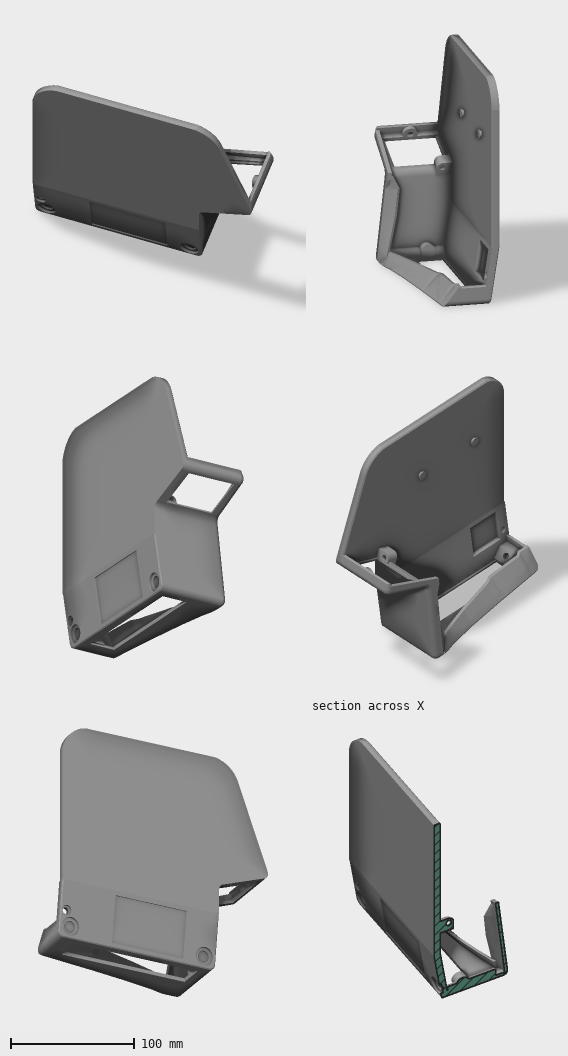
import cadquery as cq
import math

HEIGHT = 187.32
OVERALL_WIDTH = 187.63
BASE_WIDTH = 142.9
SLOPE = 20.0
CORNER_R = 5.0
WALL = 3.2
PLATE = 6.3
CHAMFER = 0.8
RIM_CHAMFER = 1.0

BEND_Z = 47.9
FOOT_Y = 7.3
BACK_Y = 69.38
BACK_SLOPE = 0.111
TRAY_TOP_Z = 100.6
WING_ROOT_Z = 73.55

FAR = 300.0
SIN = math.sin(math.radians(SLOPE))
COS = math.cos(math.radians(SLOPE))
LEAN = math.degrees(math.atan2(FOOT_Y, BEND_Z))

TRAY_X = OVERALL_WIDTH - CORNER_R + CORNER_R * (SIN + COS)
TRAY_Z = WING_ROOT_Z + (TRAY_X - BASE_WIDTH) * SIN / COS


def back_y(z):
    """Rear face position at height z."""
    return BACK_Y - BACK_SLOPE * z


def front_y(z):
    """Front face position at height z on the leaning part."""
    return FOOT_Y * (1 - z / BEND_Z)


def box(x0, x1, y0, y1, z0, z1):
    return cq.Workplane("XY").box(x1 - x0, y1 - y0, z1 - z0, centered=False).translate((x0, y0, z0))


def along_x(points, x0, x1):
    """Prism along X from (y, z) points."""
    return cq.Workplane("YZ", origin=(x0, 0, 0)).polyline(points).close().extrude(x1 - x0)


def along_y(points, y0, y1):
    """Prism along Y from (x, z) points."""
    return cq.Workplane("XZ", origin=(0, y0, 0)).polyline(points).close().extrude(y0 - y1)


def rod(start, direction, diameter, length):
    axis = cq.Vector(*direction)
    return cq.Workplane(cq.Solid.makeCylinder(diameter / 2, length, cq.Vector(*start), axis))


LEFT_ARC_START_Z = 164.5
LEFT_ARC_MID = (5.4, 177.5)
LEFT_TOP_X = 20.6
RIGHT_ARC_END_Z = 171.0
RIGHT_ARC_MID = (152.5, 181.0)
RIGHT_TOP_X = 140.0
FLAT_DROP = 1.2
LEFT_FLAT_X = 16.3
RIGHT_FLAT_X = 143.7


def outline(inset=0.0):
    """Front outline as a prism along Y, optionally shrunk by inset."""
    right_x = TRAY_X - (RIGHT_ARC_END_Z - TRAY_Z) * SIN / COS
    sharp = (
        cq.Workplane("XZ")
        .moveTo(0, 0)
        .lineTo(BASE_WIDTH, 0)
        .lineTo(BASE_WIDTH, WING_ROOT_Z)
        .lineTo(TRAY_X, TRAY_Z)
        .lineTo(right_x, RIGHT_ARC_END_Z)
        .threePointArc(RIGHT_ARC_MID, (RIGHT_FLAT_X, HEIGHT - FLAT_DROP))
        .lineTo(RIGHT_TOP_X, HEIGHT)
        .lineTo(LEFT_TOP_X, HEIGHT)
        .lineTo(LEFT_FLAT_X, HEIGHT - FLAT_DROP)
        .threePointArc(LEFT_ARC_MID, (0, LEFT_ARC_START_Z))
        .close()
        .extrude(-FAR)
    )
    rounded = (
        sharp.edges(cq.selectors.BoxSelector((-1, -1, -1), (TRAY_X + 1, FAR + 1, TRAY_Z + 1)))
        .edges("|Y")
        .fillet(CORNER_R)
    )
    if inset == 0:
        return rounded
    wire = rounded.faces("<Y").wires().vals()[0]
    inner = wire.offset2D(-inset)[0]
    return cq.Workplane(cq.Solid.extrudeLinear(inner, [], cq.Vector(0, FAR, 0)))


def upright_plate():
    """Vertical part of the plate, with a chamfered rear rim."""
    slab = outline().intersect(box(0, FAR, 0, PLATE - RIM_CHAMFER, 0, FAR))
    slab = slab.faces(">Y").wires().toPending().workplane().extrude(RIM_CHAMFER, taper=45)
    return slab.intersect(box(0, FAR, 0, PLATE, BEND_Z, FAR))


def leaning_plate():
    """Part below the bend, with a chamfered front rim."""
    profile = [(FOOT_Y, 0), (0, BEND_Z), (PLATE, BEND_Z), (FOOT_Y + PLATE, 0)]
    plate = along_x(profile, 0, FAR).intersect(outline())
    face_point = (BASE_WIDTH / 2, front_y(BEND_Z / 2), BEND_Z / 2)
    face = plate.faces(cq.selectors.NearestToPointSelector(face_point))
    return face.edges(cq.selectors.BoxSelector((-1, -1, -1), (FAR, FAR, BEND_Z - 1))).chamfer(CHAMFER)


LEFT_TOP_Z = 16.5
LEFT_TOP_Y = 34.0
LEFT_FOOT_Y = 46.0
SKIN = 2.0
REAR_R = 4.0


def envelope():
    """Outer form of the body behind the plate's front skin, its rear edges rounded."""
    depth = [
        (FOOT_Y + SKIN, 0),
        (SKIN, BEND_Z),
        (SKIN, TRAY_TOP_Z),
        (back_y(TRAY_TOP_Z), TRAY_TOP_Z),
        (BACK_Y, 0),
    ]
    body = outline().intersect(along_x(depth, 0, FAR))
    rear_point = (BASE_WIDTH / 2, back_y(BEND_Z), BEND_Z)
    rear_face = body.faces(cq.selectors.NearestToPointSelector(rear_point))
    rim = rear_face.edges(cq.selectors.BoxSelector((1, -1, -1), (FAR, FAR, TRAY_TOP_Z - 1)))
    return rim.fillet(REAR_R)


def perimeter_walls(body):
    walls = body.cut(outline(WALL))
    above_left_wall = [
        (front_y(LEFT_TOP_Z) + SKIN, LEFT_TOP_Z),
        (LEFT_TOP_Y, LEFT_TOP_Z),
        (LEFT_FOOT_Y, 0),
        (FAR, 0),
        (FAR, FAR),
        (SKIN, FAR),
        (SKIN, BEND_Z),
    ]
    walls = walls.cut(along_x(above_left_wall, -WALL, 2 * WALL))
    left_top = cq.selectors.NearestToPointSelector((0, LEFT_TOP_Y - CORNER_R, LEFT_TOP_Z))
    walls = walls.edges("|Y").edges(left_top).chamfer(RIM_CHAMFER)
    return walls.cut(tray_end_bevel())


def tray_end_bevel():
    """Wedge removed from the inner top edge of the tray end wall."""
    outer_x = TRAY_X - (TRAY_TOP_Z - TRAY_Z) * SIN / COS
    inner_x = outer_x - WALL / COS
    wedge = [
        (inner_x, TRAY_TOP_Z),
        (inner_x + RIM_CHAMFER, TRAY_TOP_Z),
        (inner_x + RIM_CHAMFER * SIN / COS, TRAY_TOP_Z - RIM_CHAMFER),
    ]
    return along_y(wedge, PLATE, FAR)


LIP_END_X = 131.0
LIP_THICK = 2.6
LIP_BASE_Z = 1.0
LIP_SECTIONS = [
    (0.0, LEFT_FOOT_Y, LEFT_TOP_Y, LEFT_TOP_Z),
    (10.5, 47.4, LEFT_TOP_Y, LEFT_TOP_Z),
    (14.0, 47.8, 36.5, 15.8),
    (48.0, 52.2, 38.0, 14.8),
    (54.0, 52.9, 41.0, 14.2),
    (90.0, 58.2, 49.5, 12.3),
    (115.0, 63.0, 57.0, 11.5),
    (LIP_END_X, 67.8, 62.5, 11.0),
]


def loft_along_x(sections):
    """Ruled solid through (x, [(y, z), ...]) sections."""
    wires = []
    for x, points in sections:
        wires.append(cq.Wire.makePolygon([cq.Vector(x, y, z) for y, z in points], close=True))
    return cq.Workplane(cq.Solid.makeLoft(wires, True))


def rear_lip():
    """Leaning strip along the rear of the base, left thick for trimming."""
    sections = []
    for x, base_y, top_y, top_z in LIP_SECTIONS:
        outer = [(base_y + LIP_THICK, 0), (top_y + LIP_THICK, top_z)]
        inner = [(top_y - LIP_THICK, top_z), (base_y - 2 * LIP_THICK, 0)]
        sections.append((x, outer + inner))
    return loft_along_x(sections)


def behind_lip():
    """Space behind the lip; the base narrows to the left along it."""
    sections = []
    for x, base_y, top_y, top_z in LIP_SECTIONS:
        sections.append((x, [(base_y, 0), (base_y, LIP_BASE_Z), (top_y, top_z), (FAR, top_z), (FAR, 0)]))
    return loft_along_x(sections)


FLANK_SECTIONS = [
    (0.0, 126.0, 63.0),
    (11.0, 126.0, 61.5),
    (40.0, 128.0, 55.0),
    (63.0, 130.0, 52.0),
    (74.0, 131.0, 57.5),
]
COLUMN_X = 133.5


def rear_flank():
    """Rear column with a strip that turns inward toward the opening."""
    wires = []
    for z, edge_x, edge_y in FLANK_SECTIONS:
        rear = back_y(z)
        section = [
            (BASE_WIDTH, rear),
            (COLUMN_X, rear),
            (edge_x, edge_y + 1),
            (edge_x + 1, edge_y - 1),
            (COLUMN_X + 1, rear - WALL),
            (BASE_WIDTH, rear - WALL),
        ]
        wires.append(cq.Wire.makePolygon([cq.Vector(x, y, z) for x, y in section], close=True))
    return cq.Workplane(cq.Solid.makeLoft(wires, True))


TRAY_LIP_X = 130.5
TRAY_LIP_Z = 77.0
TRAY_LIP_RISE = 0.4


def tray_lip():
    """Rear lip of the tray, its top edge rising to the right."""
    start_z = 63.0
    tip_z = 71.0
    lip_top = TRAY_LIP_Z + TRAY_LIP_RISE * (TRAY_X - TRAY_LIP_X)
    face = along_y(
        [
            (TRAY_LIP_X, tip_z),
            (COLUMN_X, start_z),
            (TRAY_X, start_z),
            (TRAY_X, lip_top),
            (TRAY_LIP_X, TRAY_LIP_Z),
        ],
        0,
        FAR,
    )
    layer = along_x(
        [
            (back_y(0), 0),
            (back_y(TRAY_TOP_Z), TRAY_TOP_Z),
            (back_y(TRAY_TOP_Z) - WALL, TRAY_TOP_Z),
            (back_y(0) - WALL, 0),
        ],
        0,
        FAR,
    )
    return face.intersect(layer)


WINDOW_X = (18.7, 131.0)
WINDOW_Y = (15.1, 37.7)
WINDOW_REBATE = 1.9
REBATE_FLOOR = 1.6
OVERCUT = 1.0
TRAY_WINDOW_U = (-43.9, -7.0)
TRAY_WINDOW_Y = (8.5, 51.3)


def on_tray(shape):
    """Move a shape from level to the tray, its origin at the tray's outer corner."""
    return shape.rotate((0, 0, 0), (0, 1, 0), -SLOPE).translate((TRAY_X, 0, TRAY_Z))


def base_window():
    x0, x1 = WINDOW_X
    y0, y1 = WINDOW_Y
    r = WINDOW_REBATE
    rebate = box(x0 - r, x1, y0 - r, y1, REBATE_FLOOR, WALL + OVERCUT)
    return box(x0, x1, y0, y1, -OVERCUT, WALL + OVERCUT).union(rebate)


def tray_window():
    u0, u1 = TRAY_WINDOW_U
    y0, y1 = TRAY_WINDOW_Y
    r = WINDOW_REBATE
    rebate = box(u0 - r, u1, y0 - r, y1 + r, REBATE_FLOOR, WALL + OVERCUT)
    return on_tray(box(u0, u1, y0, y1, -OVERCUT, WALL + OVERCUT).union(rebate))


SCREW_D = 4.5
SLOPE_HOLE_D = 5.59
EMBED = 1.0
BOSS_D = 12.0
SCREW_V = 5.05


def left_block():
    """Block in the left corner with a sloping, drilled end."""
    x0, x_top = WALL - EMBED, 11.3
    y0, y1 = 10.0, 28.3
    top = 11.0
    hole_x, hole_y, hole_depth = 14.5, 21.8, 5.0
    base_x = x_top + top - WALL
    profile = [(x0, WALL - EMBED), (base_x, WALL - EMBED), (base_x, WALL), (x_top, top), (x0, top)]
    block = along_y(profile, y0, y1).edges("|X and >Y and >Z").fillet(CORNER_R)
    hole_centre = (hole_x, hole_y, x_top + top - hole_x)
    hole = rod(hole_centre, (-1, 0, -1), SLOPE_HOLE_D, hole_depth)
    mouth = rod(hole_centre, (1, 0, 1), SLOPE_HOLE_D, hole_depth)
    return block.cut(hole).cut(mouth)


def right_boss():
    """Rod-shaped boss and rounded filler along the lower right corner."""
    inner_x = BASE_WIDTH - WALL
    filler_r, filler_y0, filler_y1 = 7.0, 13.0, 58.0
    boss_y, boss_z = 27.0, 8.0
    filler = rod((inner_x, filler_y0, WALL), (0, 1, 0), 2 * filler_r, filler_y1 - filler_y0)
    filler = filler.intersect(box(0, inner_x + EMBED, 0, FAR, WALL - EMBED, FAR))
    boss_x = WINDOW_X[1]
    return filler.union(rod((boss_x, boss_y, boss_z), (1, 0, 0), BOSS_D, inner_x + EMBED - boss_x))


def tray_root_block():
    """Drilled block where the tray meets the body side, against the plate."""
    u0, length = -54.4, 10.6
    bottom, top = -2.3, 9.9
    y1 = 18.6
    hole_y = 14.0
    block = box(u0, u0 + length, PLATE - EMBED, y1, bottom, top).edges("|X and >Y and >Z").fillet(CORNER_R)
    return on_tray(block.cut(rod((u0, hole_y, SCREW_V), (1, 0, 0), SCREW_D, length)))


def tray_end_boss():
    """Arched screw boss on the inside of the tray's end wall."""
    reach, centre_y = 7.0, 29.9
    hole_d, hole_depth = 5.5, 3.0
    boss = rod((-reach, centre_y, SCREW_V), (1, 0, 0), BOSS_D, reach - EMBED)
    foot = box(-reach, -EMBED, centre_y - BOSS_D / 2, centre_y + BOSS_D / 2, WALL - EMBED, SCREW_V)
    boss = boss.intersect(box(-FAR, FAR, 0, FAR, WALL - EMBED, FAR))
    hole = rod((-reach, centre_y, SCREW_V), (1, 0, 0), hole_d, hole_depth)
    return on_tray(boss.union(foot).cut(hole))


def on_lean(x, z):
    """Workplane on the leaning front face, its normal pointing out of the part."""
    tilt = math.radians(LEAN)
    return cq.Workplane(
        cq.Plane((x, front_y(z), z), (1, 0, 0), (0, -math.cos(tilt), -math.sin(tilt)))
    )


def foot_recess(x):
    """Stepped round recess for a foot."""
    z = 10.0
    rim_d, rim_depth = 15.6, 2.0
    seat_d, seat_depth = 10.16, 3.5
    rim = on_lean(x, z).circle(rim_d / 2).extrude(-rim_depth)
    return rim.union(on_lean(x, z).circle(seat_d / 2).extrude(-seat_depth))


def label_recess():
    centre_x, centre_z = 81.0, 24.0
    width, height, depth = 65.0, 40.5, 1.0
    return on_lean(centre_x, centre_z).rect(width, height).extrude(-depth)


def cable_hole():
    """Counterbored hole through the leaning plate."""
    x, z = 5.7, 22.7
    bore_d = 5.61
    sink_d, sink_depth = 8.6, 2.0
    bore = on_lean(x, z).circle(bore_d / 2).extrude(-2 * PLATE)
    return bore.union(on_lean(x, z).circle(sink_d / 2).extrude(-sink_depth))


def rear_pocket():
    """Pocket behind the leaning plate, open to the rear."""
    x0, x1 = 9.8, 40.5
    z0, z1 = 16.5, 44.0
    depth = 4.0
    floor = PLATE - depth
    return along_x(
        [
            (front_y(z0) + floor, z0),
            (front_y(z1) + floor, z1),
            (front_y(z1) + PLATE + OVERCUT, z1),
            (front_y(z0) + PLATE + OVERCUT, z0),
        ],
        x0,
        x1,
    )


FOOT_XS = (10.3, 132.5)
PEG_Z = 134.0
PEG_XS = (36.3, 96.3)


def peg(x):
    """Headed peg on the back of the plate."""
    neck, head, tip_y, head_t = 5.6, 7.5, 8.6, 0.6
    body = rod((x, PLATE - EMBED, PEG_Z), (0, 1, 0), neck, tip_y - PLATE + EMBED)
    return body.union(rod((x, tip_y - head_t, PEG_Z), (0, 1, 0), head, head_t))


body = envelope()
shell = perimeter_walls(body).union(rear_lip().intersect(body)).cut(behind_lip())
for piece in (rear_flank(), tray_lip()):
    shell = shell.union(piece.intersect(body))
shell = shell.cut(base_window()).cut(tray_window())
for piece in (left_block(), right_boss(), tray_root_block(), tray_end_boss()):
    shell = shell.union(piece.intersect(body))
result = upright_plate().union(leaning_plate()).union(shell)
for x in PEG_XS:
    result = result.union(peg(x))
for x in FOOT_XS:
    result = result.cut(foot_recess(x))
result = result.cut(label_recess()).cut(cable_hole()).cut(rear_pocket())